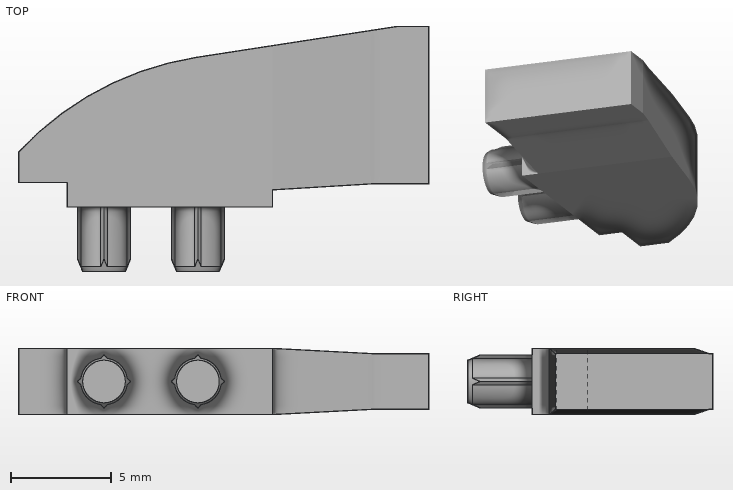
import cadquery as cq
import math

LENGTH = 20.32
BODY_THICKNESS = 3.3
TAIL_THICKNESS = 2.76
BODY_END_X = 12.58
TAPER_END_X = 17.6

NOSE_STEP_X = 2.4
NOSE_BOTTOM_Y = 1.22
TAPER_BOTTOM_Y = 0.85
TAIL_BOTTOM_Y = 1.15

NOSE_TOP_Y = 2.75
ARC_END = (8.84, 7.44)
FLAT_START_X = 18.74
TAIL_TOP_Y = 8.96

PEG_CENTERS_X = (4.23, 8.88)
PEG_LENGTH = 3.2
PEG_RADIUS = 1.15
PEG_TIP_RADIUS = 1.05
RIB_RADIUS = 1.32
RIB_BASE_WIDTH = 0.33
RIB_COUNT = 4
TIP_TAPER_LENGTH = 0.63


def make_plate():
    """Curved plate whose tail is thinned symmetrically about Z = 0."""
    outline = (
        cq.Workplane("XY")
        .moveTo(LENGTH, TAIL_TOP_Y)
        .lineTo(FLAT_START_X, TAIL_TOP_Y)
        .lineTo(*ARC_END)
        .tangentArcPoint((0, NOSE_TOP_Y), relative=False)
        .lineTo(0, NOSE_BOTTOM_Y)
        .lineTo(NOSE_STEP_X, NOSE_BOTTOM_Y)
        .lineTo(NOSE_STEP_X, 0)
        .lineTo(BODY_END_X, 0)
        .lineTo(BODY_END_X, TAPER_BOTTOM_Y)
        .lineTo(TAPER_END_X, TAIL_BOTTOM_Y)
        .lineTo(LENGTH, TAIL_BOTTOM_Y)
        .close()
    )
    plate = outline.extrude(BODY_THICKNESS / 2, both=True)

    upper_edge = [
        (0, BODY_THICKNESS / 2),
        (BODY_END_X, BODY_THICKNESS / 2),
        (TAPER_END_X, TAIL_THICKNESS / 2),
        (LENGTH, TAIL_THICKNESS / 2),
    ]
    lower_edge = [(x, -z) for x, z in reversed(upper_edge)]
    thickness_envelope = (
        cq.Workplane("XZ").polyline(upper_edge + lower_edge).close().extrude(-TAIL_TOP_Y)
    )
    return plate.intersect(thickness_envelope)


def make_peg():
    """Peg along -Y from the origin, with pointed ribs and a conical tip."""
    peg = cq.Workplane("XZ").circle(PEG_RADIUS).extrude(PEG_LENGTH)

    half_width = RIB_BASE_WIDTH / 2
    base_radius = math.sqrt(PEG_RADIUS**2 - half_width**2)
    rib = (
        cq.Workplane("XZ")
        .polyline([
            (0, 0),
            (base_radius, -half_width),
            (RIB_RADIUS, 0),
            (base_radius, half_width),
        ])
        .close()
        .extrude(PEG_LENGTH)
    )
    for index in range(RIB_COUNT):
        angle = index * 360 / RIB_COUNT
        peg = peg.union(rib.rotate((0, 0, 0), (0, 1, 0), angle))

    tip_envelope = (
        cq.Workplane("XY")
        .polyline([
            (0, 0),
            (RIB_RADIUS, 0),
            (RIB_RADIUS, TIP_TAPER_LENGTH - PEG_LENGTH),
            (PEG_TIP_RADIUS, -PEG_LENGTH),
            (0, -PEG_LENGTH),
        ])
        .close()
        .revolve(360, (0, 0, 0), (0, 1, 0))
    )
    return peg.intersect(tip_envelope)


result = make_plate()
for peg_x in PEG_CENTERS_X:
    result = result.union(make_peg().translate((peg_x, 0, 0)))